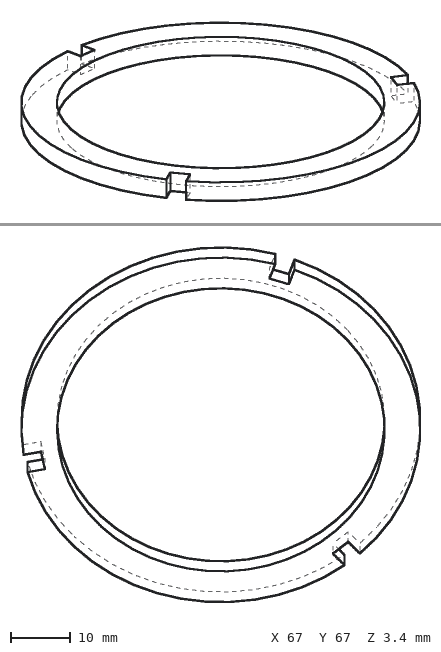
import cadquery as cq

outer_diameter = 67.0
inner_diameter = 55.0
thickness = 3.4

slot_count = 3
slot_width = 3.4
slot_floor_radius = 30.5
first_slot_angle = 180.0

outer_radius = outer_diameter / 2
cutter_length = 2 * (outer_radius - slot_floor_radius)


def make_ring():
    """Flat ring centred on the Z axis, resting on the XY plane."""
    return (
        cq.Workplane("XY")
        .circle(outer_radius)
        .circle(inner_diameter / 2)
        .extrude(thickness)
    )


def make_slot_cutter(angle):
    """Flat-floored radial slot through the full thickness at the given angle."""
    return (
        cq.Workplane("XY")
        .box(cutter_length, slot_width, thickness, centered=(False, True, False))
        .translate((slot_floor_radius, 0, 0))
        .rotate((0, 0, 0), (0, 0, 1), angle)
    )


result = make_ring()
for slot_index in range(slot_count):
    slot_angle = first_slot_angle + slot_index * 360 / slot_count
    result = result.cut(make_slot_cutter(slot_angle))